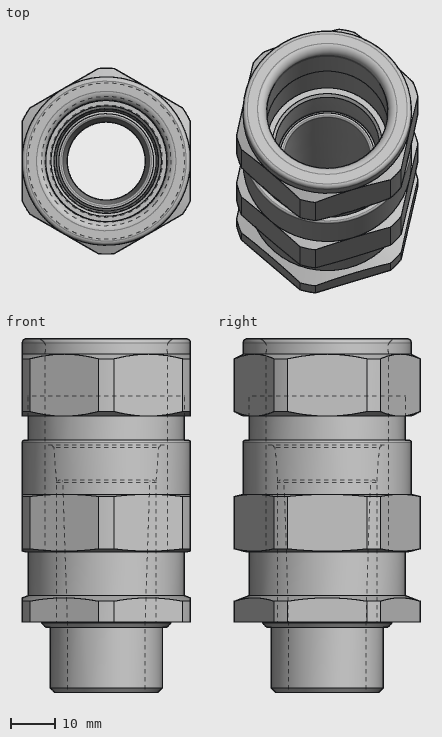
import cadquery as cq
import math

TOTAL_HEIGHT = 79.9
ACROSS_FLATS = 38.0
FLAT_RADIUS = ACROSS_FLATS / 2
CORNER_RADIUS = 21.0
NECK_RADIUS = 17.65
CABLE_BORE_RADIUS = 13.8

CAP_BOTTOM = 62.4
CAP_HEX_TOP = 76.4
CAP_HEX_CHAMFER = 1.0
CAP_RIM_FILLET = 0.95
CAP_LIP_RADIUS = 13.7
CAP_LIP_FILLET = 2.1
CAP_LIP_DEPTH = 2.2
CAP_RELIEF_DEPTH = 3.1

BODY_TOP = 66.95
BODY_SHOULDER = 57.0
BODY_SHOULDER_FILLET = 0.5
BODY_HEX_TOP = 44.75
BODY_HEX_CHAMFER = 0.5
BODY_BOTTOM = 31.7
BODY_BASE_RADIUS = 18.2
BODY_BASE_CHAMFER = 0.7

ENTRY_TOP = 55.9
ENTRY_NECK_BOTTOM = 21.9
ENTRY_HEX_CHAMFER = 1.3
ENTRY_HEX_BOTTOM = 15.9
COLLAR_RADIUS = 14.6
COLLAR_HEIGHT = 1.2
COLLAR_CHAMFER = 0.95
STEM_RADIUS = 12.7
STEM_CHAMFER = 1.0
ENTRY_MOUTH_RADIUS = 12.5
ENTRY_MOUTH_CHAMFER = 0.6
THROUGH_RADIUS = 8.8

SEAL_TOP = 47.95
SEAL_BOTTOM = ENTRY_HEX_BOTTOM
SEAL_RADIUS = 11.3
SEAL_OUTER_CHAMFER = 0.55
SEAL_MOUTH_RADIUS = 9.8
SEAL_MOUTH_FILLET = 0.4


def turned(points):
    """Solid of revolution about Z from a closed outline of (radius, z) points."""
    return cq.Workplane("XZ").polyline(points).close().revolve(360, (0, 0, 0), (0, 1, 0))


def hexagon(turned_outline):
    """Hexagonal prism with flats on +X and -X, cut to a turned outline that chamfers its corners."""
    corner_diameter = ACROSS_FLATS / math.cos(math.radians(30))
    prism = cq.Workplane("XY").polygon(6, corner_diameter).extrude(TOTAL_HEIGHT)
    return prism.rotate((0, 0, 0), (0, 0, 1), 30).intersect(turned(turned_outline))


def ring(outer_radius, bottom, top):
    """Plain cylinder between two heights."""
    return cq.Workplane("XY").workplane(offset=bottom).circle(outer_radius).extrude(top - bottom)


def make_cap_nut():
    outside = hexagon([
        (0, CAP_BOTTOM),
        (FLAT_RADIUS, CAP_BOTTOM),
        (CORNER_RADIUS, CAP_BOTTOM + CAP_HEX_CHAMFER),
        (CORNER_RADIUS, CAP_HEX_TOP - CAP_HEX_CHAMFER),
        (FLAT_RADIUS, CAP_HEX_TOP),
        (0, CAP_HEX_TOP),
    ])
    rim = ring(FLAT_RADIUS, CAP_HEX_TOP, TOTAL_HEIGHT).faces(">Z").edges().fillet(CAP_RIM_FILLET)
    lip_bottom = TOTAL_HEIGHT - CAP_LIP_DEPTH
    bore = turned([
        (0, CAP_BOTTOM),
        (NECK_RADIUS, CAP_BOTTOM),
        (NECK_RADIUS, BODY_TOP),
        (CABLE_BORE_RADIUS, BODY_TOP),
        (CABLE_BORE_RADIUS, TOTAL_HEIGHT - CAP_RELIEF_DEPTH),
        (CAP_LIP_RADIUS, lip_bottom),
        (CAP_LIP_RADIUS, TOTAL_HEIGHT),
        (0, TOTAL_HEIGHT),
    ])
    nut = outside.union(rim).cut(bore)
    lip_edge = cq.selectors.RadiusNthSelector(0)
    return nut.faces(">Z").edges(lip_edge).fillet(CAP_LIP_FILLET)


def make_body():
    hexed = hexagon([
        (0, BODY_BOTTOM),
        (BODY_BASE_RADIUS, BODY_BOTTOM),
        (CORNER_RADIUS, BODY_BOTTOM + BODY_BASE_CHAMFER),
        (CORNER_RADIUS, BODY_HEX_TOP - BODY_HEX_CHAMFER),
        (FLAT_RADIUS, BODY_HEX_TOP),
        (0, BODY_HEX_TOP),
    ])
    barrel = ring(FLAT_RADIUS, BODY_HEX_TOP, BODY_SHOULDER)
    barrel = barrel.faces(">Z").edges().fillet(BODY_SHOULDER_FILLET)
    neck = ring(NECK_RADIUS, BODY_SHOULDER, BODY_TOP)
    bore = ring(CABLE_BORE_RADIUS, BODY_BOTTOM, BODY_TOP)
    return hexed.union(barrel).union(neck).cut(bore)


def make_entry():
    hexed = hexagon([
        (0, ENTRY_HEX_BOTTOM),
        (CORNER_RADIUS, ENTRY_HEX_BOTTOM),
        (CORNER_RADIUS, ENTRY_NECK_BOTTOM - ENTRY_HEX_CHAMFER),
        (NECK_RADIUS, ENTRY_NECK_BOTTOM),
        (0, ENTRY_NECK_BOTTOM),
    ])
    neck = ring(NECK_RADIUS, ENTRY_NECK_BOTTOM, BODY_BOTTOM)
    spigot = ring(CABLE_BORE_RADIUS, BODY_BOTTOM, ENTRY_TOP)
    collar_bottom = ENTRY_HEX_BOTTOM - COLLAR_HEIGHT
    collar = ring(COLLAR_RADIUS, collar_bottom, ENTRY_HEX_BOTTOM)
    collar = collar.faces("<Z").edges().chamfer(COLLAR_CHAMFER)
    stem = ring(STEM_RADIUS, 0, collar_bottom).faces("<Z").edges().chamfer(STEM_CHAMFER)
    bore = turned([
        (0, 0),
        (THROUGH_RADIUS, 0),
        (THROUGH_RADIUS, SEAL_BOTTOM),
        (SEAL_RADIUS, SEAL_BOTTOM),
        (SEAL_RADIUS, SEAL_TOP),
        (ENTRY_MOUTH_RADIUS - ENTRY_MOUTH_CHAMFER, ENTRY_TOP - ENTRY_MOUTH_CHAMFER),
        (ENTRY_MOUTH_RADIUS, ENTRY_TOP),
        (0, ENTRY_TOP),
    ])
    return hexed.union(neck).union(spigot).union(collar).union(stem).cut(bore)


def make_seal():
    """Ring with a bevelled crown, and a bore that narrows to the entry's through hole."""
    sleeve = turned([
        (THROUGH_RADIUS, SEAL_BOTTOM),
        (SEAL_RADIUS, SEAL_BOTTOM),
        (SEAL_RADIUS, SEAL_TOP - SEAL_OUTER_CHAMFER),
        (SEAL_RADIUS - SEAL_OUTER_CHAMFER, SEAL_TOP),
        (SEAL_MOUTH_RADIUS, SEAL_TOP),
    ])
    mouth_edge = cq.selectors.RadiusNthSelector(0)
    return sleeve.faces(">Z").edges(mouth_edge).fillet(SEAL_MOUTH_FILLET)


cap_nut = make_cap_nut()
body = make_body()
entry = make_entry()
seal = make_seal()

result = cq.Compound.makeCompound([cap_nut.val(), body.val(), entry.val(), seal.val()])